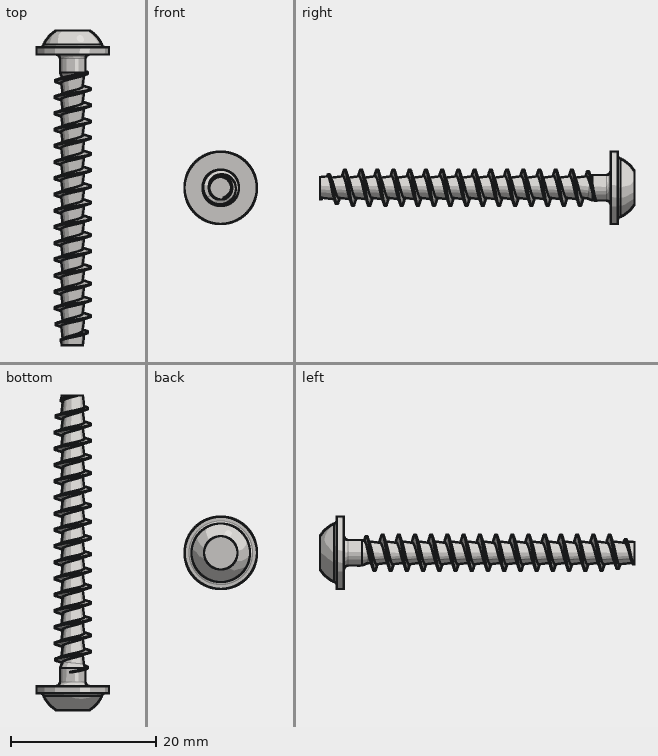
import cadquery as cq
import math


total_length = 43.3
head_height = 3.35
flange_radius = 5.0
flange_thickness = 1.05
flange_edge_chamfer = 0.05
dome_top_radius = 2.3
dome_bulge_radius = 3.35
dome_bulge_height = 2.45
dome_base_radius = 4.03
dome_foot_fillet = 0.35

shank_radius = 1.78
shank_length = 2.45
underhead_fillet = 0.55
shank_taper_length = 1.1
core_radius = 1.3
tip_depth = total_length - head_height

thread_radius = 2.5
crest_width = 0.11
flank_angle = 15.0
shoulder_radius = 1.6
root_radius = 1.4
first_crest_depth = 2.5
last_crest_depth = 38.2
thread_turns = 16
pitch = (last_crest_depth - first_crest_depth) / thread_turns

rise_turn = -0.4
full_height_turn = 0.8
fade_turn = 15.0
vanish_turn = 16.5
faded_crest_radius = 1.65

skin_start_turn = rise_turn - 1
skin_turns = thread_turns + 3
points_per_turn = 16


def make_body():
    """Revolve the head and shank around the Y axis."""
    chamfer = flange_edge_chamfer
    foot_height = flange_thickness + dome_foot_fillet
    foot_radius = dome_base_radius + dome_foot_fillet
    fillet_mid = 1 - math.sqrt(0.5)
    profile = (
        cq.Workplane("XY")
        .moveTo(0, head_height)
        .lineTo(dome_top_radius, head_height)
        .threePointArc((dome_bulge_radius, dome_bulge_height), (dome_base_radius, foot_height))
        .threePointArc(
            (
                dome_base_radius + fillet_mid * dome_foot_fillet,
                flange_thickness + fillet_mid * dome_foot_fillet,
            ),
            (foot_radius, flange_thickness),
        )
        .lineTo(flange_radius - chamfer, flange_thickness)
        .lineTo(flange_radius, flange_thickness - chamfer)
        .lineTo(flange_radius, chamfer)
        .lineTo(flange_radius - chamfer, 0)
        .lineTo(shank_radius + underhead_fillet, 0)
        .threePointArc(
            (shank_radius + fillet_mid * underhead_fillet, -fillet_mid * underhead_fillet),
            (shank_radius, -underhead_fillet),
        )
        .lineTo(shank_radius, -shank_length)
        .lineTo(core_radius, -shank_length - shank_taper_length)
        .lineTo(0, -shank_length - shank_taper_length)
        .close()
    )
    return profile.revolve(360, (0, 0, 0), (0, 1, 0))


def crest_radius(turn):
    """Outer thread radius, easing in and out at the ends."""
    rise = (turn - rise_turn) / (full_height_turn - rise_turn)
    fall = (vanish_turn - turn) / (vanish_turn - fade_turn)
    progress = max(0.0, min(1.0, rise, fall))
    ease = math.sin(math.pi / 2 * progress)
    return faded_crest_radius + ease * (thread_radius - faded_crest_radius)


def thread_corners(turn):
    """Root, two crest corners and shoulder as (offset towards the tip, radius)."""
    crest = crest_radius(turn)
    half_crest = crest_width / 2
    slope = math.tan(math.radians(flank_angle))
    return [
        (-half_crest - (crest - root_radius) * slope, root_radius),
        (-half_crest, crest),
        (half_crest, crest),
        (half_crest + (crest - shoulder_radius) * slope, shoulder_radius),
    ]


def corner_helix(corner, first_turn):
    """One right-handed turn of the helix that a thread corner follows."""
    points = []
    for step in range(points_per_turn + 1):
        turn = first_turn + step / points_per_turn
        offset, radius = thread_corners(turn)[corner]
        depth = first_crest_depth + pitch * turn + offset
        angle = 2 * math.pi * turn
        points.append(cq.Vector(radius * math.cos(angle), -depth, radius * math.sin(angle)))
    return cq.Edge.makeSpline(points)


def end_faces(root_helix, profile):
    """Close one end: a helicoid from the root to the axis and a radial face."""
    axis_start = cq.Vector(0, root_helix.startPoint().y, 0)
    axis_end = cq.Vector(0, root_helix.endPoint().y, 0)
    helicoid = cq.Face.makeRuledSurface(root_helix, cq.Edge.makeLine(axis_start, axis_end))
    outline = cq.Wire.makePolygon([axis_start, *profile, axis_end], close=True)
    return [helicoid, cq.Face.makeFromWires(outline)]


def make_threaded_core():
    """Bound the core and thread by a helical skin, each turn joining the next."""
    turn_starts = [skin_start_turn + index for index in range(skin_turns)]
    roots = [corner_helix(0, start) for start in turn_starts + [skin_start_turn + skin_turns]]
    faces = []
    rows = []
    for index, start in enumerate(turn_starts):
        upper_corners = [corner_helix(corner, start) for corner in (1, 2, 3)]
        row = [roots[index], *upper_corners, roots[index + 1]]
        faces += [cq.Face.makeRuledSurface(a, b) for a, b in zip(row, row[1:])]
        rows.append(row)
    faces += end_faces(roots[0], [helix.startPoint() for helix in rows[0]])
    faces += end_faces(roots[-1], [helix.endPoint() for helix in rows[-1]])
    core = cq.Workplane(obj=cq.Solid.makeSolid(cq.Shell.makeShell(faces)).fix())
    beyond_tip = (
        cq.Workplane("XZ", origin=(0, -tip_depth, 0))
        .circle(2 * thread_radius)
        .extrude(4 * pitch)
    )
    return core.cut(beyond_tip)


result = make_body().union(make_threaded_core(), clean=False)